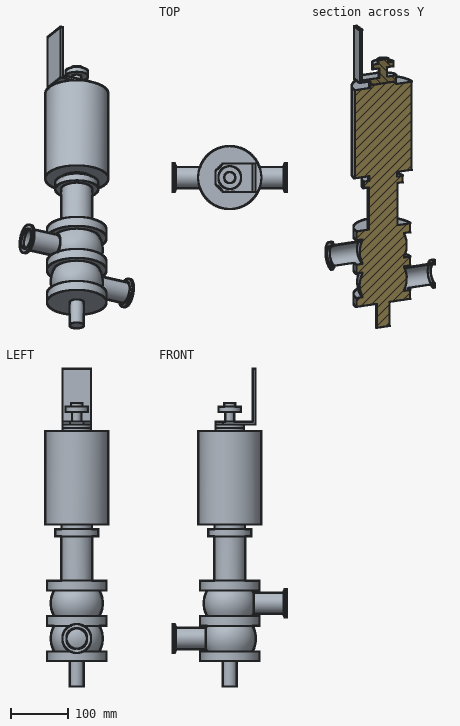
import cadquery as cq

FLANGE_THICKNESS = 17.5
FLANGE_PITCH = 62.0
LOWEST_FLANGE_Z = 44.5
FLANGE_COUNT = 3
CLAMP_RING_Z = 263.0
CLAMP_RING_TOP_Z = 276.0
ACTUATOR_Z = 284.0
ACTUATOR_TOP_Z = 448.5
COLLAR_HEIGHT = 5.0
WASHER_HEIGHT = 6.0
KNOB_Z = 481.0
KNOB_TOP_Z = 490.5
CAP_TOP_Z = 497.5
OVERALL_HEIGHT = 557.5

DRAIN_DIAMETER = 25.0
FLANGE_DIAMETER = 105.0
BALL_DIAMETER = 92.0
COLUMN_DIAMETER = 55.0
CLAMP_RING_DIAMETER = 76.0
NECK_DIAMETER = 54.0
ACTUATOR_DIAMETER = 111.0
COLLAR_DIAMETER = 50.0
STEM_DIAMETER = 16.0
KNOB_DIAMETER = 40.0
CAP_DIAMETER = 19.5

PORT_REACH = 100.1
PORT_DIAMETER = 38.0
PORT_BORE = 35.5
FERRULE_DIAMETER = 51.0
FERRULE_RIM = 3.5
FERRULE_TAPER = 2.0
FERRULE_BACK_DIAMETER = 40.5

BRACKET_WIDTH = 50.0
BRACKET_THICKNESS = 5.0
BRACKET_LEFT_X = -BRACKET_WIDTH / 2
BRACKET_RIGHT_X = 45.0
BRACKET_CORNER = 13.5

ball_height = FLANGE_PITCH - FLANGE_THICKNESS
lower_ball_z = LOWEST_FLANGE_Z + FLANGE_THICKNESS + ball_height / 2
upper_ball_z = lower_ball_z + FLANGE_PITCH
top_flange_z = LOWEST_FLANGE_Z + (FLANGE_COUNT - 1) * FLANGE_PITCH
column_z = top_flange_z + FLANGE_THICKNESS
washer_z = ACTUATOR_TOP_Z + COLLAR_HEIGHT
bracket_z = washer_z + WASHER_HEIGHT
bracket_top_z = bracket_z + BRACKET_THICKNESS


def disc(diameter, bottom_z, top_z):
    """Upright cylinder on the valve axis."""
    return cq.Workplane("XY", origin=(0, 0, bottom_z)).circle(diameter / 2).extrude(top_z - bottom_z)


def ball_chamber(center_z):
    """Ball cut flat where it meets the flanges above and below."""
    ball = cq.Workplane("XY").sphere(BALL_DIAMETER / 2)
    band = cq.Workplane("XY").box(BALL_DIAMETER, BALL_DIAMETER, ball_height)
    return ball.intersect(band).translate((0, 0, center_z))


def side_port(center_z, turn):
    """Open tube with a clamp ferrule, ending on the ball; points to +X, then turned about Z."""
    rim_x = PORT_REACH - FERRULE_RIM
    taper_x = rim_x - FERRULE_TAPER
    tube = (
        cq.Workplane("XY")
        .moveTo(0, PORT_BORE / 2)
        .lineTo(PORT_REACH, PORT_BORE / 2)
        .lineTo(PORT_REACH, FERRULE_DIAMETER / 2)
        .lineTo(rim_x, FERRULE_DIAMETER / 2)
        .lineTo(taper_x, FERRULE_BACK_DIAMETER / 2)
        .lineTo(taper_x, PORT_DIAMETER / 2)
        .lineTo(0, PORT_DIAMETER / 2)
        .close()
        .revolve(360, (0, 0, 0), (1, 0, 0))
    )
    return tube.rotate((0, 0, 0), (0, 0, 1), turn).translate((0, 0, center_z))


def make_valve():
    """Flanged ball chambers with ports, column, neck, actuator and its lower collar."""
    valve = disc(DRAIN_DIAMETER, 0, LOWEST_FLANGE_Z)
    for index in range(FLANGE_COUNT):
        flange_z = LOWEST_FLANGE_Z + index * FLANGE_PITCH
        valve = valve.union(disc(FLANGE_DIAMETER, flange_z, flange_z + FLANGE_THICKNESS))
    for center_z, turn in ((lower_ball_z, 180), (upper_ball_z, 0)):
        valve = valve.union(ball_chamber(center_z)).union(side_port(center_z, turn))
    valve = valve.union(disc(COLUMN_DIAMETER, column_z, CLAMP_RING_Z))
    valve = valve.union(disc(CLAMP_RING_DIAMETER, CLAMP_RING_Z, CLAMP_RING_TOP_Z))
    valve = valve.union(disc(NECK_DIAMETER, CLAMP_RING_TOP_Z, ACTUATOR_Z))
    valve = valve.union(disc(ACTUATOR_DIAMETER, ACTUATOR_Z, ACTUATOR_TOP_Z))
    return valve.union(disc(COLLAR_DIAMETER, ACTUATOR_TOP_Z, washer_z))


def bracket():
    """L-shaped sheet with its two free foot corners cut off."""
    return (
        cq.Workplane("XZ", origin=(0, BRACKET_WIDTH / 2, 0))
        .moveTo(BRACKET_LEFT_X, bracket_z)
        .lineTo(BRACKET_RIGHT_X, bracket_z)
        .lineTo(BRACKET_RIGHT_X, OVERALL_HEIGHT)
        .lineTo(BRACKET_RIGHT_X - BRACKET_THICKNESS, OVERALL_HEIGHT)
        .lineTo(BRACKET_RIGHT_X - BRACKET_THICKNESS, bracket_top_z)
        .lineTo(BRACKET_LEFT_X, bracket_top_z)
        .close()
        .extrude(BRACKET_WIDTH)
        .edges("|Z and <X")
        .chamfer(BRACKET_CORNER)
    )


def make_bracket_head():
    """Washer, bracket, stem, knob and cap that stand on the collar."""
    head = disc(COLLAR_DIAMETER, washer_z, bracket_z).union(bracket())
    head = head.union(disc(STEM_DIAMETER, bracket_top_z, KNOB_Z))
    head = head.union(disc(KNOB_DIAMETER, KNOB_Z, KNOB_TOP_Z))
    return head.union(disc(CAP_DIAMETER, KNOB_TOP_Z, CAP_TOP_Z))


valve = make_valve()
bracket_head = make_bracket_head()
result = cq.Compound.makeCompound([valve.val(), bracket_head.val()])